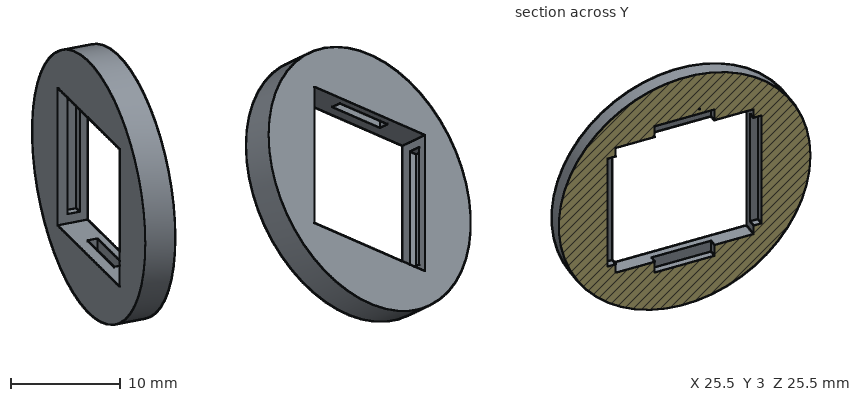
import cadquery as cq

disc_diameter = 25.46
thickness = 3.0

window_size = 13.9

slot_back_margin = 0.8
side_slot_length = 12.0
side_slot_width = 1.2
side_slot_depth = 0.8
clip_slot_length = 6.0
clip_slot_width = 1.0
clip_slot_depth = 1.2


def make_disc():
    """Round plate centred on the origin."""
    back_face = cq.Workplane("XZ", origin=(0, thickness / 2, 0))
    return back_face.circle(disc_diameter / 2).extrude(thickness)


def make_window():
    """Square opening through the full thickness."""
    return cq.Workplane("XY").box(window_size, thickness, window_size)


def make_slot_bar(size_x, width, size_z):
    """Bar across the window whose ends cut a pair of facing slots."""
    center_y = thickness / 2 - slot_back_margin - width / 2
    return cq.Workplane("XY").box(size_x, width, size_z).translate((0, center_y, 0))


side_slots = make_slot_bar(window_size + 2 * side_slot_depth, side_slot_width, side_slot_length)
clip_slots = make_slot_bar(clip_slot_length, clip_slot_width, window_size + 2 * clip_slot_depth)

result = make_disc().cut(make_window()).cut(side_slots).cut(clip_slots)